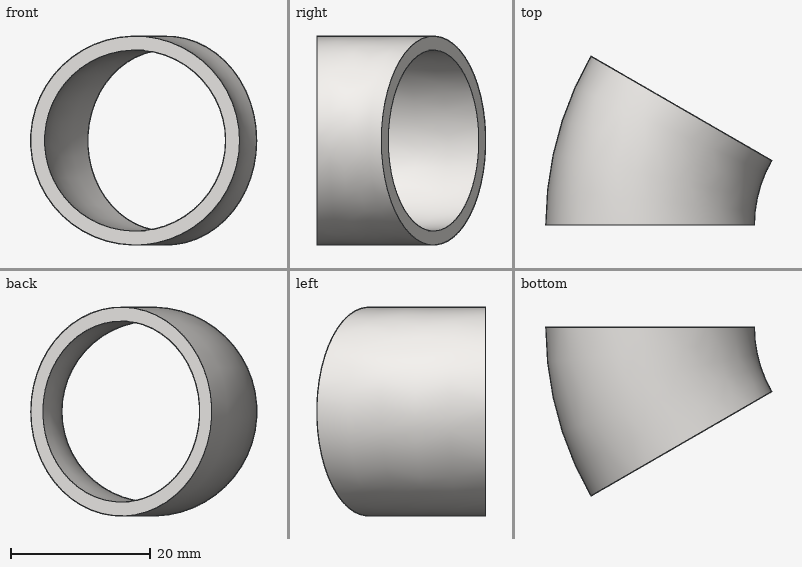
import cadquery as cq
import math

overall_length = 32.48
bend_angle = 30.0
bend_radius = 33.52
wall = 2.0

bend_cos = math.cos(math.radians(bend_angle))
outer_radius = (overall_length - bend_radius * (1 - bend_cos)) / (1 + bend_cos)
inner_radius = outer_radius - wall


def pipe_elbow():
    """Sweep the pipe ring, centred on the origin, about a bend axis parallel to Z."""
    return (
        cq.Workplane("XZ")
        .circle(outer_radius)
        .circle(inner_radius)
        .revolve(bend_angle, (bend_radius, 0.32, 0), (bend_radius, 0, 0))
    )


result = pipe_elbow()